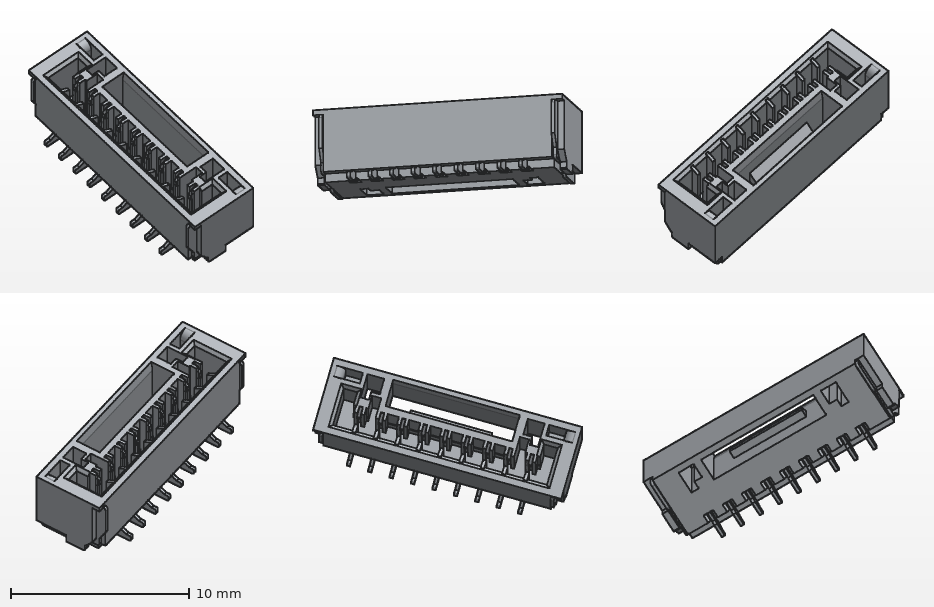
import cadquery as cq

length = 14.5
depth = 4.29
top = 4.2
standoff = 0.1
half_length = length / 2

recess_top = 0.6
recess_depth = 0.48

contact_count = 9
pitch = 1.25
contact_width = 0.2

pocket_floor = 0.87
lead_in = 0.2
rim_front = 0.39
rim_end = 6.45
rim_inner = 5.25
rim_back = 2.99
contact_wall = 2.02
wall_ledge = 0.05
wall_ledge_top = 1.74

prong_width = 0.6
prong_front = 1.6

second_prong = ((contact_count - 1) / 2 - 1) * pitch
key_inner = second_prong + prong_width / 2
key_outer = 4.58

window_front = 2.51
window_back = 3.9
window_half = 3.7
window_flare = 0.09
window_flare_depth = 0.58
side_window_inner = 4.19
side_window_outer = 5.18
side_window_leg = 4.7

latch_half = 2.38
latch_reach = rim_back - window_front
latch_top = 2.61
latch_bottom = 1.74

corner_pocket_inner = 5.44
corner_pocket_outer = 6.44
corner_pocket_front = 3.26
corner_pocket_floor = 2.18
corner_round = 0.52

notch_width = 0.39
notch_depth = recess_depth
notch_top = 3.92
plate_thickness = 0.2
plate_outer = half_length - notch_width
plate_inner = plate_outer - plate_thickness
plate_proud = 0.15
plate_bottom = recess_top
plate_toe = 0.28
plate_round = 0.19
plate_toe_top = 1.2
plate_bend = 1.95
block_front = 1.0
block_slope_low = 0.51
block_slope_high = 1.12
block_chamfer = 0.07
foot_front = 2.28
foot_back = 4.2
foot_top = 0.64
foot_round = 0.19

lead_reach = 0.65
lead_thickness = 0.39
lead_round = 0.1
lead_bend_top = 0.36
lead_bend_bottom = 0.2
lead_root_front = 0.42
lead_root_bottom = 0.15
solder_notch_half = 0.32
solder_notch_height = 0.16
solder_notch_length = 0.5

rear_arm_back = 2.05
rear_arm_front = 1.5
rear_beam_front = 1.78
rear_tip_drop = 0.15
rear_nose_drop = 0.55
nose_height = 0.35
nose_undercut = 0.15
front_arm_front = 0.5
front_arm_back = 1.03
front_tip_drop = 0.07
front_nose_drop = 0.36


def box(x_range, y_range, z_range):
    """Block spanning the given (low, high) limits along each axis."""
    spans = (x_range, y_range, z_range)
    size = [high - low for low, high in spans]
    corner = tuple(low for low, high in spans)
    return cq.Workplane("XY").box(*size, centered=False).translate(corner)


def profile_along_x(points, x_start, width):
    """Extrude an outline of (y, z) points along X."""
    return cq.Workplane("YZ").polyline(points).close().extrude(width).translate((x_start, 0, 0))


def both_ends(shape):
    """The shape together with its mirror image at the other end of the header."""
    return shape.union(shape.mirror("YZ"))


def mating_pocket():
    """Pocket in front of the contact wall, with end bays, key notches and bevelled rims."""
    front = rim_front + lead_in
    end = rim_end - lead_in
    inner_half = rim_inner + lead_in
    ledge_front = contact_wall - wall_ledge
    pocket = box((-end, end), (front, contact_wall), (pocket_floor, top))
    ledge = box((-inner_half, inner_half), (ledge_front, contact_wall), (pocket_floor, wall_ledge_top))
    pocket = pocket.cut(ledge)

    end_bay = box((inner_half, end), (front, rim_back - lead_in), (pocket_floor, top))
    end_lead_in = (
        cq.Workplane("XY", origin=((rim_inner + rim_end) / 2, (rim_front + rim_back) / 2, top))
        .rect(rim_end - rim_inner, rim_back - rim_front)
        .extrude(-lead_in, taper=45)
    )
    key_notch = box((key_inner, key_outer), (front, rim_back - lead_in), (pocket_floor, top))
    pocket = pocket.union(both_ends(end_bay.union(end_lead_in).union(key_notch)))

    front_bevel = [(rim_front, top), (front, top), (front, top - lead_in)]
    front_lead_in = profile_along_x(front_bevel, -inner_half, 2 * inner_half)
    return pocket.union(front_lead_in)


def large_window():
    """Through window that flares at the top, less the latch ramp on its front wall."""
    outline = [
        (window_front, 0),
        (window_back, 0),
        (window_back, top - window_flare_depth),
        (window_back + window_flare, top),
        (window_front - window_flare, top),
        (window_front, top - window_flare_depth),
    ]
    latch = [
        (window_front, latch_top),
        (window_front + latch_reach, latch_top - latch_reach),
        (window_front + latch_reach, latch_bottom),
        (window_front, latch_bottom),
    ]
    window = profile_along_x(outline, -window_half, 2 * window_half)
    return window.cut(profile_along_x(latch, -latch_half, 2 * latch_half))


def side_window():
    """L-shaped through window beside the large one."""
    main = box((side_window_inner, side_window_outer), (rim_back, window_back), (0, top))
    leg = box((side_window_leg, side_window_outer), (window_front, rim_back), (0, top))
    return main.union(leg)


def corner_pocket():
    """Blind pocket whose outer top edge is rounded over."""
    pocket = box(
        (corner_pocket_inner, corner_pocket_outer),
        (corner_pocket_front, window_back),
        (corner_pocket_floor, top),
    )
    rounding = (
        cq.Workplane("XZ")
        .moveTo(corner_pocket_outer, top)
        .lineTo(corner_pocket_outer, top - corner_round)
        .radiusArc((corner_pocket_outer + corner_round, top), corner_round)
        .close()
        .extrude(-(window_back - corner_pocket_front))
        .translate((0, corner_pocket_front, 0))
    )
    return pocket.union(rounding)


def end_recess():
    """Corner notch, slot for the hold-down plate and clearance beside its foot."""
    notch = profile_along_x(
        [
            (0, notch_top),
            (notch_depth, notch_top),
            (notch_depth, block_slope_high),
            (block_front, block_slope_low),
            (block_front, standoff + block_chamfer),
            (block_front + block_chamfer, standoff),
            (0, standoff),
        ],
        plate_outer,
        notch_width,
    )
    slot = box((plate_inner, plate_outer), (0, notch_depth), (plate_bottom, notch_top))
    channel = box((plate_inner, plate_outer), (0, foot_front), (0, plate_bottom))
    foot_clearance = box((plate_inner, half_length), (foot_front, depth), (0, foot_top))
    return notch.union(slot).union(channel).union(foot_clearance)


def hold_down():
    """Metal plate in the corner notch and its foot further back."""
    plate = profile_along_x(
        [
            (notch_depth, plate_bottom),
            (plate_toe, plate_bottom),
            (plate_toe, plate_toe_top),
            (-plate_proud, plate_bend),
            (-plate_proud, notch_top),
            (notch_depth, notch_top),
        ],
        plate_inner,
        plate_thickness,
    )
    plate = plate.edges("|X and >Z").edges("<Y").fillet(plate_round)
    plate = plate.edges("|X and <Z").edges("<Y").fillet(plate_round)
    foot = box((plate_inner, plate_outer), (foot_front, foot_back), (0, foot_top))
    return plate.union(foot.edges("|X and <Z").fillet(foot_round))


def prong():
    """Pillar with a slot for the rear contact arm."""
    pillar = box((-prong_width / 2, prong_width / 2), (prong_front, contact_wall), (pocket_floor, top))
    slot = box((-contact_width / 2, contact_width / 2), (prong_front, rear_arm_back), (pocket_floor, top))
    return pillar.cut(slot)


def contact():
    """Fork with two sloped tips in the pocket and a bent lead out of the front."""
    rear_arm = [
        (rear_arm_back, lead_root_bottom),
        (rear_arm_back, top - rear_tip_drop),
        (rear_arm_front, top - rear_nose_drop),
        (rear_arm_front, top - rear_nose_drop - nose_height),
        (rear_beam_front, top - rear_nose_drop - nose_height - nose_undercut),
        (rear_beam_front, lead_root_bottom),
    ]
    front_arm = [
        (front_arm_front, lead_root_bottom),
        (front_arm_front, top - front_tip_drop),
        (front_arm_back, top - front_nose_drop),
        (front_arm_back, lead_root_bottom),
    ]
    lead = [
        (front_arm_back, recess_top),
        (0, recess_top),
        (-lead_bend_top, lead_thickness),
        (-lead_reach, lead_thickness),
        (-lead_reach, 0),
        (lead_bend_bottom, 0),
        (lead_root_front, lead_root_bottom),
        (front_arm_back, lead_root_bottom),
    ]
    x_start = -contact_width / 2
    lead_body = profile_along_x(lead, x_start, contact_width)
    lead_body = lead_body.edges("|X and <Y").fillet(lead_round)
    fork = profile_along_x(rear_arm, x_start, contact_width)
    fork = fork.union(profile_along_x(front_arm, x_start, contact_width))
    return fork.union(lead_body)


def solder_notch():
    """Bevelled clearance under the housing where a lead comes out."""
    return (
        cq.Workplane("XZ")
        .polyline([
            (-solder_notch_half, standoff),
            (solder_notch_half, standoff),
            (solder_notch_half - solder_notch_height, standoff + solder_notch_height),
            (solder_notch_height - solder_notch_half, standoff + solder_notch_height),
        ])
        .close()
        .extrude(-solder_notch_length)
        .translate((0, recess_depth, 0))
    )


contact_places = [((i - (contact_count - 1) / 2) * pitch, 0, 0) for i in range(contact_count)]

result = box((-half_length, half_length), (0, depth), (standoff, top))
result = result.cut(box((-half_length, half_length), (0, recess_depth), (standoff, recess_top)))
result = result.cut(mating_pocket())
result = result.cut(large_window())
result = result.cut(both_ends(side_window()))
result = result.cut(both_ends(corner_pocket()))
result = result.cut(both_ends(end_recess()))
for place in contact_places:
    result = result.union(prong().translate(place))
    result = result.cut(solder_notch().translate(place))

result = result.union(both_ends(hold_down()))
for place in contact_places:
    result = result.union(contact().translate(place))